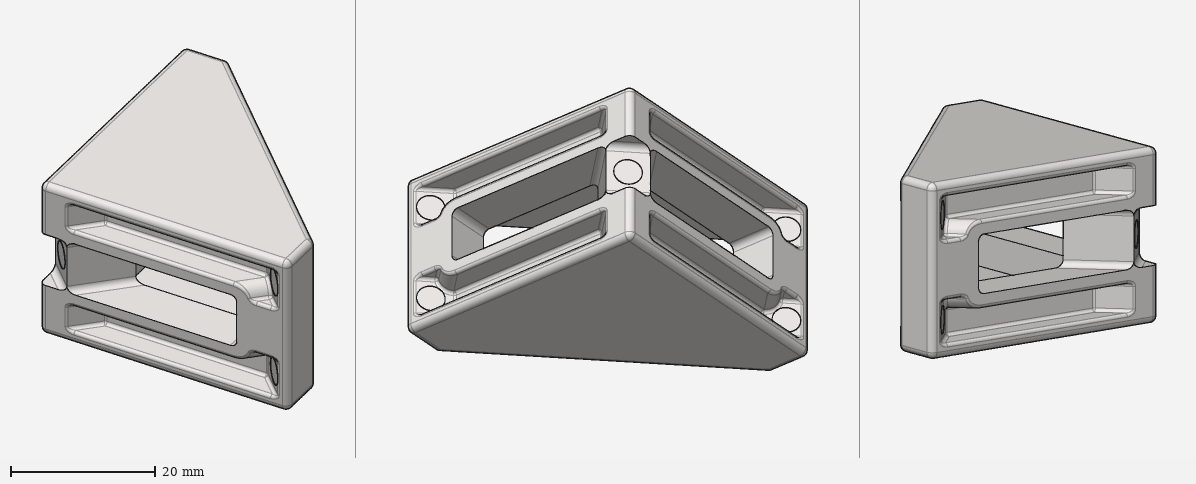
import cadquery as cq
import math

leg = 40.0
width = 25.0
flange = 7.0
edge_radius = 1.0

pocket_height = 18.0

slot_height = 8.5
slot_end = 31.7
slot_radius = 1.0
corner_relief = 4.4

groove_depth = 4.0
groove_start = 4.3
groove_end = 38.3
groove_low = 6.3
groove_high = 10.5
groove_rounding = edge_radius / 2

widening_start = 30.65
bend_radius = 2.2
widening_low = slot_height / 2

spot_diameter = 4.0
spot_depth = 0.1
groove_spot_x = 36.7
groove_spot_z = 7.45

overcut = 2.0


def plan_prism(points, low, high):
    """Extrude an XY outline between two heights."""
    return cq.Workplane("XY", origin=(0, 0, low)).polyline(points).close().extrude(high - low)


def swap_flanges(shape):
    """Turn a shape on the -Y flange over onto the -X flange."""
    return shape.rotate((0, 0, 0), (1, 1, 0), 180)


def make_body():
    outline = [(0, 0), (leg, 0), (leg, flange), (flange, leg), (0, leg)]
    return plan_prism(outline, -width / 2, width / 2).edges().fillet(edge_radius)


def make_pocket():
    outline = [(flange, flange), (flange + leg, flange), (flange, flange + leg)]
    return plan_prism(outline, -pocket_height / 2, pocket_height / 2)


def make_slot():
    """Slot through the -Y flange; its near end runs along the diagonal web at the corner."""
    outside = -overcut
    inside = flange + overcut
    outline = [
        (corner_relief + outside, outside),
        (slot_end, outside),
        (slot_end, inside),
        (corner_relief + inside, inside),
    ]
    slot = plan_prism(outline, -slot_height / 2, slot_height / 2)
    return slot.faces("<(1,-1,0) or >X").edges("not |Z").fillet(slot_radius)


def make_corner_relief():
    """Cut the corner back to a flat face square to the diagonal."""
    outline = [
        (-overcut, -overcut),
        (corner_relief + overcut, -overcut),
        (-overcut, corner_relief + overcut),
    ]
    relief = plan_prism(outline, -slot_height / 2, slot_height / 2)
    return relief.faces(">(1,1,0)").edges("not |Z").fillet(slot_radius)


def make_widening():
    """Prism along the diagonal, ending at the far ramp, whose near side is a rounded step."""
    drop = groove_low - widening_low
    run = math.sqrt(bend_radius**2 - (bend_radius - drop) ** 2)
    across_diagonal = cq.Plane(origin=(widening_start, 0, 0), xDir=(1, -1, 0), normal=(-1, -1, 0))
    profile = (
        cq.Workplane(across_diagonal)
        .moveTo(0, groove_low)
        .radiusArc((run, widening_low), bend_radius)
        .lineTo(leg, widening_low)
        .lineTo(leg, groove_high)
        .lineTo(0, groove_high)
        .close()
        .extrude(leg, both=True)
    )
    in_front_of_ramp = plan_prism([(0, 0), (groove_end, 0), (0, groove_end)], widening_low, groove_high)
    return profile.intersect(in_front_of_ramp)


def round_opening(groove):
    """Flare a groove at its opening so that cutting it leaves a rounded rim."""
    margin = 2 * groove_rounding
    block_low = widening_low - margin
    block_high = groove_high + margin
    corners = [(0, 0), (leg, 0), (leg, flange), (0, flange)]
    block = plan_prism(corners, block_low, block_high)
    inset = 0.05
    near = (inset, -inset, block_low + inset)
    far = (leg - inset, inset, block_high - inset)
    rim = cq.selectors.BoxSelector(near, far, boundingbox=True)
    rounded = block.cut(groove).edges(rim).fillet(groove_rounding)
    return block.cut(rounded)


def make_groove():
    """Upper groove of the -Y flange."""
    outline = [
        (groove_start, 0),
        (groove_end, 0),
        (groove_end - groove_depth, groove_depth),
        (groove_start + groove_depth, groove_depth),
    ]
    groove = plan_prism(outline, groove_low, groove_high).union(make_widening()).clean()
    floor_and_ramps = groove.faces(">Y or >(1,1,0) or <(1,-1,0)").edges("not <Y")
    step_foot = groove.edges("<Z and |(1,1,0)")
    return round_opening(floor_and_ramps.add(step_foot).fillet(groove_rounding))


def make_spot(x, y, z):
    """Shallow disc sunk along the diagonal from a point on a face square to it."""
    face = cq.Plane(origin=(x, y, z), xDir=(1, -1, 0), normal=(1, 1, 0))
    return cq.Workplane(face).circle(spot_diameter / 2).extrude(spot_depth)


bracket = make_body().cut(make_pocket()).cut(make_corner_relief())
bracket = bracket.cut(make_spot(corner_relief / 2, corner_relief / 2, 0))

upper_groove = make_groove()
upper_spot = make_spot(groove_spot_x, groove_end - groove_spot_x, groove_spot_z)
flange_cuts = [make_slot()]
for cut in (upper_groove, upper_spot):
    flange_cuts += [cut, cut.mirror("XY")]

for cut in flange_cuts:
    bracket = bracket.cut(cut).cut(swap_flanges(cut))

result = bracket